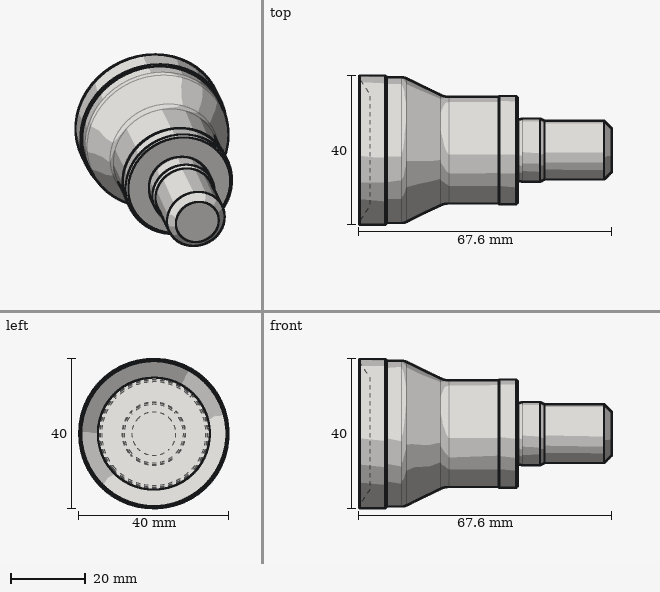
import cadquery as cq

LENGTH = 67.6

RING_DIA = 40.0
RING_LENGTH = 7.5
RING_FRONT_CHAMFER = 0.3
RECESS_MOUTH_DIA = 38.8
RECESS_FLOOR_DIA = 29.95
RECESS_DEPTH = 3.0

HEAD_DIA = 39.1
HEAD_END = 11.4
CONE_START = 12.7
CONE_START_DIA = 38.5
CONE_END = 21.9
CONE_END_DIA = 29.55
BARREL_START = 24.1
BARREL_DIA = 28.6

FLANGE_START = 37.6
FLANGE_END = 42.6
FLANGE_DIA = 29.0
FLANGE_CHAMFER = 0.6

NECK_DIA = 16.6
NECK_END = 42.95
COLLAR_DIA = 17.0
COLLAR_START = 43.75
COLLAR_END = 48.5
SHANK_DIA = 15.75
SHANK_START = 49.65
SHANK_CHAMFER = 2.0


def make_ring():
    """Front ring with chamfered rims and a conical, flat-bottomed recess."""
    blank = cq.Workplane("YZ").circle(RING_DIA / 2).extrude(RING_LENGTH)
    rear_chamfer = (RING_DIA - HEAD_DIA) / 2
    blank = blank.faces("<X").chamfer(RING_FRONT_CHAMFER)
    blank = blank.faces(">X").chamfer(rear_chamfer)
    recess = (
        cq.Workplane("YZ")
        .circle(RECESS_MOUTH_DIA / 2)
        .workplane(offset=RECESS_DEPTH)
        .circle(RECESS_FLOOR_DIA / 2)
        .loft(ruled=True)
    )
    return blank.cut(recess)


def make_body():
    """Turned body behind the ring: head, cone, barrel, flange and shank."""
    flange_step = (FLANGE_DIA - BARREL_DIA) / 2
    half_profile = (
        cq.Workplane("XY")
        .moveTo(RING_LENGTH, 0)
        .lineTo(RING_LENGTH, HEAD_DIA / 2)
        .lineTo(HEAD_END, HEAD_DIA / 2)
        .tangentArcPoint((CONE_START, CONE_START_DIA / 2), relative=False)
        .lineTo(CONE_END, CONE_END_DIA / 2)
        .tangentArcPoint((BARREL_START, BARREL_DIA / 2), relative=False)
        .lineTo(FLANGE_START - flange_step, BARREL_DIA / 2)
        .lineTo(FLANGE_START, FLANGE_DIA / 2)
        .lineTo(FLANGE_END - FLANGE_CHAMFER, FLANGE_DIA / 2)
        .lineTo(FLANGE_END, FLANGE_DIA / 2 - FLANGE_CHAMFER)
        .lineTo(FLANGE_END, NECK_DIA / 2)
        .lineTo(NECK_END, NECK_DIA / 2)
        .lineTo(COLLAR_START, COLLAR_DIA / 2)
        .lineTo(COLLAR_END, COLLAR_DIA / 2)
        .lineTo(SHANK_START, SHANK_DIA / 2)
        .lineTo(LENGTH - SHANK_CHAMFER, SHANK_DIA / 2)
        .lineTo(LENGTH, SHANK_DIA / 2 - SHANK_CHAMFER)
        .lineTo(LENGTH, 0)
        .close()
    )
    return half_profile.revolve(360, (0, 0, 0), (1, 0, 0))


ring = make_ring()
body = make_body()

result = cq.Compound.makeCompound([ring.val(), body.val()])